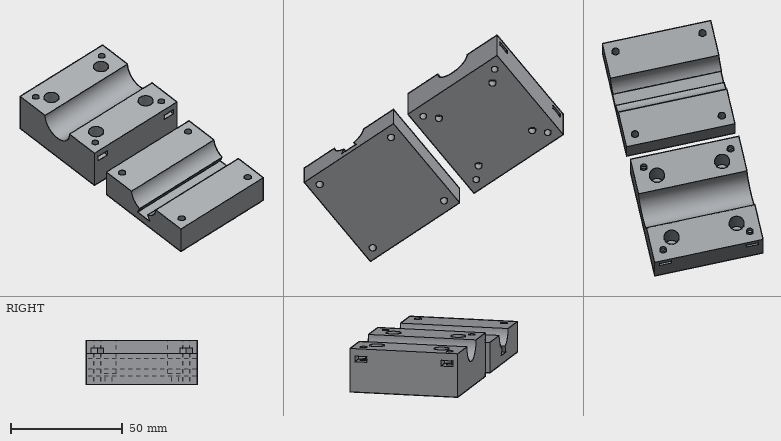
import cadquery as cq
import math

block_side = 50.0
block_gap = 8.0
clamp_hole_spacing = 40.0
channel_radius = 8.2

base_height = 20.0
base_clamp_hole_diameter = 3.0
mount_hole_spacing = 30.0
mount_hole_diameter = 3.2
counterbore_diameter = 6.7
counterbore_depth = 15.0
nut_width = 5.5
nut_thickness = 2.6
nut_pocket_floor = 14.0

cap_height = 14.0
cap_channel_rise = 0.75
cap_clamp_hole_diameter = 3.2
dovetail_floor = 4.0
dovetail_floor_width = 8.0
dovetail_neck = 7.0
dovetail_neck_width = 5.5

cap_center_x = block_side + block_gap
nut_corner_diameter = nut_width / math.cos(math.pi / 6)
clamp_hole_inset = (block_side - clamp_hole_spacing) / 2


def block(height):
    """Square block centred on the Z axis, standing on Z = 0."""
    return cq.Workplane("XY").box(block_side, block_side, height, centered=(True, True, False))


def front_plane():
    """XZ sketch plane on the front face; a negative extrusion runs to the back face."""
    return cq.Workplane("XZ", origin=(0, -block_side / 2, 0))


def channel(axis_height):
    """Round bar along Y that cuts the channel."""
    return front_plane().center(0, axis_height).circle(channel_radius).extrude(-block_side)


def dovetail_slot():
    """Bar along Y, wider at the slot floor than at the neck, where it opens into the channel."""
    half_floor = dovetail_floor_width / 2
    half_neck = dovetail_neck_width / 2
    return (
        front_plane()
        .moveTo(-half_floor, dovetail_floor)
        .lineTo(half_floor, dovetail_floor)
        .lineTo(half_neck, dovetail_neck)
        .lineTo(-half_neck, dovetail_neck)
        .close()
        .extrude(-block_side)
    )


def square_of_cylinders(spacing, diameter, bottom, top):
    """Four vertical cylinders on the corners of a square."""
    return (
        cq.Workplane("XY", origin=(0, 0, bottom))
        .rect(spacing, spacing, forConstruction=True)
        .vertices()
        .circle(diameter / 2)
        .extrude(top - bottom)
    )


def nut_pocket(side_x, side_y):
    """Slot from an X side face to a clamp hole, ending in the corner of a hexagonal nut."""
    nut_x = side_x * clamp_hole_spacing / 2
    nut_y = side_y * clamp_hole_spacing / 2
    nut_plane = cq.Workplane("XY", origin=(nut_x, nut_y, nut_pocket_floor))
    nut = nut_plane.polygon(6, nut_corner_diameter).extrude(nut_thickness)
    slot = (
        nut_plane.center(side_x * clamp_hole_inset / 2, 0)
        .rect(clamp_hole_inset, nut_width)
        .extrude(nut_thickness)
    )
    return nut.union(slot)


def make_base():
    body = block(base_height).cut(channel(base_height))
    body = body.cut(square_of_cylinders(clamp_hole_spacing, base_clamp_hole_diameter, 0, base_height))
    body = body.cut(square_of_cylinders(mount_hole_spacing, mount_hole_diameter, 0, base_height))
    counterbore_floor = base_height - counterbore_depth
    body = body.cut(
        square_of_cylinders(mount_hole_spacing, counterbore_diameter, counterbore_floor, base_height)
    )
    for side_x in (-1, 1):
        for side_y in (-1, 1):
            body = body.cut(nut_pocket(side_x, side_y))
    return body


def make_cap():
    body = block(cap_height).cut(channel(cap_height + cap_channel_rise))
    body = body.cut(dovetail_slot())
    body = body.cut(square_of_cylinders(clamp_hole_spacing, cap_clamp_hole_diameter, 0, cap_height))
    return body.translate((cap_center_x, 0, 0))


base = make_base()
cap = make_cap()

result = cq.Compound.makeCompound([base.solids().val(), cap.solids().val()])